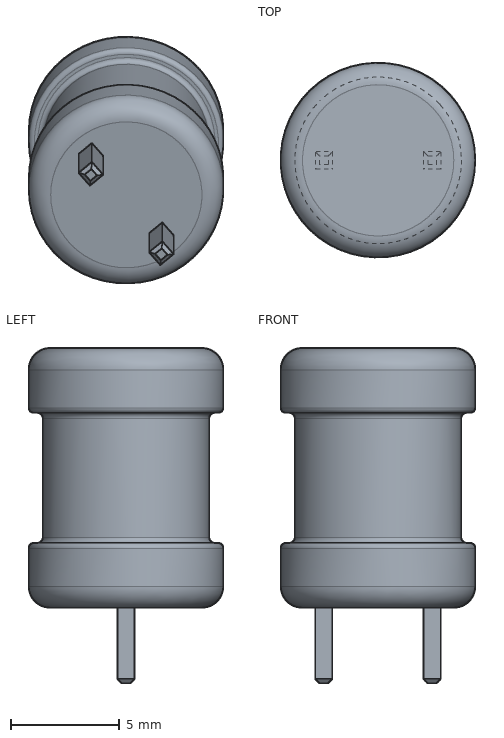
import cadquery as cq

total_height = 15.5
body_height = 12.01
flange_diameter = 9.0
core_diameter = 7.7
flange_height = 3.0

end_radius = 1.0
rim_radius = 0.25
core_fillet_radius = 0.25

pin_width = 0.8
pin_pitch = 5.0
pin_tip_chamfer = 0.2
pin_length = total_height - body_height


def make_flange(bottom_z, outer_face, inner_face):
    """Disc with a large round on its outer end and a small one facing the core."""
    disc = cq.Workplane("XY").workplane(offset=bottom_z).circle(flange_diameter / 2).extrude(flange_height)
    disc = disc.faces(outer_face).edges().fillet(end_radius)
    return disc.faces(inner_face).edges().fillet(rim_radius)


def make_body():
    """Two flanges joined by a narrower core, with filleted inner corners."""
    core_height = body_height - 2 * flange_height
    core = cq.Workplane("XY").workplane(offset=flange_height).circle(core_diameter / 2).extrude(core_height)
    lower_flange = make_flange(0, "<Z", ">Z")
    upper_flange = make_flange(body_height - flange_height, ">Z", "<Z")
    body = core.union(lower_flange).union(upper_flange)
    core_wall = body.faces("%CYLINDER").faces(cq.selectors.AreaNthSelector(-1))
    return core_wall.edges("%CIRCLE").fillet(core_fillet_radius)


def make_pin(center_x):
    """Square pin hanging from the body, chamfered around its tip."""
    pin = cq.Workplane("XY").center(center_x, 0).rect(pin_width, pin_width).extrude(-pin_length)
    return pin.faces("<Z").edges().chamfer(pin_tip_chamfer)


result = make_body()
for side in (-1, 1):
    result = result.union(make_pin(side * pin_pitch / 2))